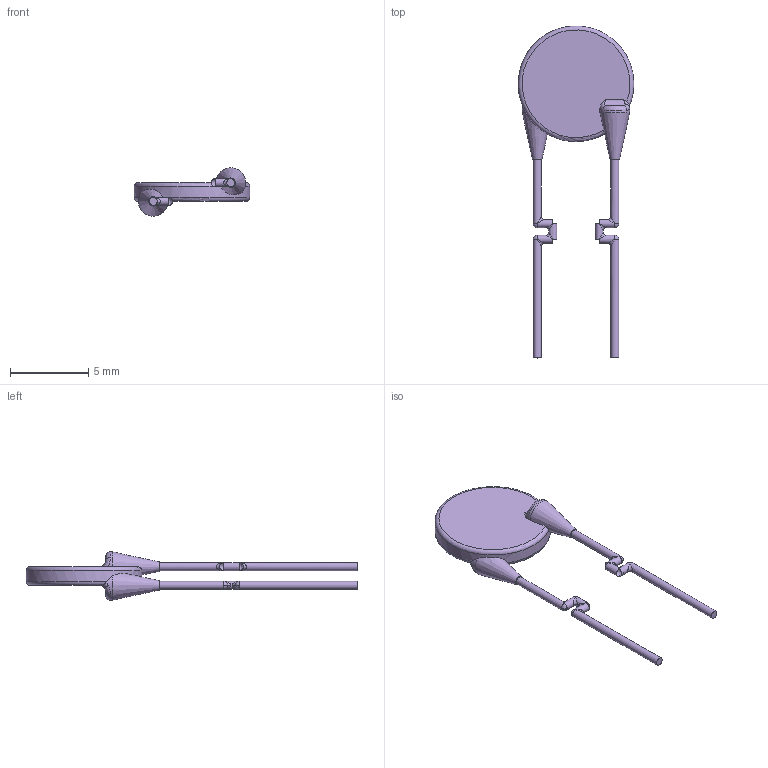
import cadquery as cq

disc_diameter = 7.4
disc_thickness = 1.2
disc_edge_radius = 0.25

overall_length = 21.25
wire_diameter = 0.52
lead_pitch = 4.97
kink_offset = 1.0
kink_length = 1.0
kink_start_y = -8.95
kink_inner_radius = 0.2

coat_radius = 0.95
coat_tip_radius = 0.3
coat_tip_y = -4.85
coat_cone_length = 3.0
coat_collar_length = 0.45
coat_round_radius = 0.3
coat_foot_radius = 0.4

wire_radius = wire_diameter / 2
lead_x = lead_pitch / 2
lead_z = disc_thickness / 2
lead_end_y = disc_diameter / 2 - overall_length
kink_end_y = kink_start_y - kink_length
coat_base_y = coat_tip_y + coat_cone_length
coat_back_y = coat_base_y + coat_collar_length


def make_disc():
    """Flat disc with rounded rims."""
    bottom = cq.Workplane("XY", origin=(0, 0, -disc_thickness / 2))
    disc = bottom.circle(disc_diameter / 2).extrude(disc_thickness)
    return disc.faces("|Z").edges().fillet(disc_edge_radius)




def make_wire():
    """Straight wire with a square kink in it, rounded at the inside of each bend."""
    path = cq.Workplane("XY").polyline([
        (0, coat_base_y),
        (0, kink_start_y),
        (-kink_offset, kink_start_y),
        (-kink_offset, kink_end_y),
        (0, kink_end_y),
        (0, lead_end_y),
    ])
    section = cq.Workplane("XZ", origin=(0, coat_base_y, 0)).circle(wire_radius)
    wire = section.sweep(path, transition="round")
    return wire.edges("%ELLIPSE").fillet(kink_inner_radius)


def make_coat_cone():
    """Cone of coating around the wire."""
    profile = cq.Workplane("XY").polyline([
        (0, coat_tip_y),
        (coat_tip_radius, coat_tip_y),
        (coat_radius, coat_base_y),
        (0, coat_base_y),
    ]).close()
    return profile.revolve(360, (0, 0, 0), (0, 1, 0))


def make_coat_collar():
    """Round collar behind the cone; its rounded back flares down onto the disc face."""
    collar_length = coat_collar_length + coat_foot_radius
    foot_end_y = coat_base_y + collar_length
    flare = (
        cq.Workplane("YZ")
        .moveTo(coat_base_y, -coat_radius)
        .lineTo(foot_end_y, -coat_radius)
        .lineTo(foot_end_y, 0)
        .radiusArc((coat_back_y, coat_foot_radius), coat_foot_radius)
        .lineTo(coat_back_y, coat_radius)
        .lineTo(coat_base_y, coat_radius)
        .close()
        .extrude(coat_radius, both=True)
    )
    base = cq.Workplane("XZ", origin=(0, coat_base_y, 0))
    cylinder = base.circle(coat_radius).extrude(-collar_length)
    collar = cylinder.intersect(flare)
    back_rim = collar.edges("%CIRCLE").edges(">Z")
    flare_sides = collar.edges("%BSPLINE")
    return collar.newObject(back_rim.vals() + flare_sides.vals()).fillet(coat_round_radius)


def make_upper_lead():
    """Coated wire on the top face of the disc."""
    lead = make_coat_cone().union(make_coat_collar()).union(make_wire())
    return lead.translate((lead_x, 0, lead_z))


upper_lead = make_upper_lead()
lower_lead = upper_lead.rotate((0, 0, 0), (0, 1, 0), 180)

result = make_disc().union(upper_lead).union(lower_lead)